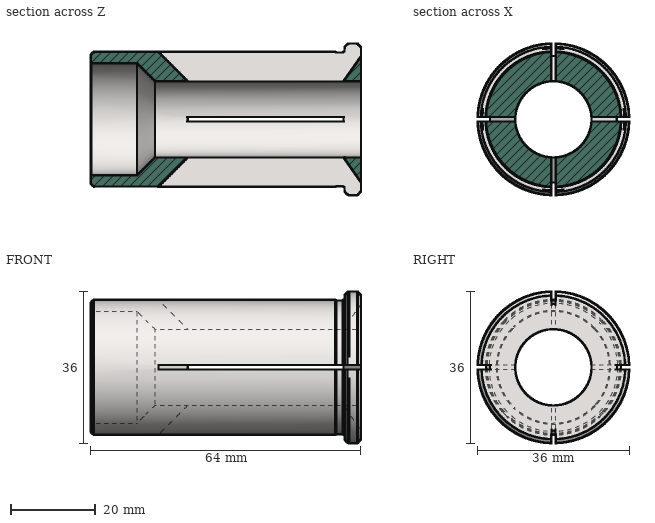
import cadquery as cq
import math


def run_of_slope(rise, angle_from_axis):
    """Length along X over which a slope at this angle changes radius by `rise`."""
    return rise / math.tan(math.radians(angle_from_axis))


length = 64.0
body_radius = 32.0 / 2

entry_face_radius = 15.2
entry_steep_cone_length = 0.3
entry_steep_cone_radius = 15.65
entry_edge_length = 0.8

entry_bore_radius = 26.5 / 2
through_bore_radius = 18.0 / 2
bore_edge_chamfer = 0.25
entry_bore_end = 11.0
bore_cone_half_angle = 45.0
bore_cone_end = entry_bore_end + run_of_slope(
    entry_bore_radius - through_bore_radius, bore_cone_half_angle
)

collar_radius = 18.0
collar_width = 4.0
collar_start = length - collar_width
collar_front_edge = 1.2
blend_long_leg = 0.4
blend_short_leg = 0.13
collar_back_edge = 1.0
back_blend_length = 0.2
back_blend_drop = 0.1

relief_start = 57.8
relief_radius = 15.85
relief_ramp_length = 0.4
relief_corner_length = 0.4
relief_corner_rise = 0.25

slot_count = 4
slot_width = 1.0
slot_start = 16.0
slot_start_angle = 45.0
slot_rise_start = 59.8
slot_rise_angle = 55.0
slot_inner_radius = through_bore_radius - 1.0
slot_outer_radius = collar_radius + 1.0


def sleeve_blank():
    """Body and collar revolved around X, still without the bore."""
    outline = [
        (0, 0),
        (0, entry_face_radius),
        (entry_steep_cone_length, entry_steep_cone_radius),
        (entry_edge_length, body_radius),
        (relief_start, body_radius),
        (relief_start + relief_ramp_length, relief_radius),
        (collar_start - relief_corner_length, relief_radius),
        (collar_start, relief_radius + relief_corner_rise),
        (collar_start, collar_radius - collar_front_edge),
        (collar_start + blend_short_leg, collar_radius - collar_front_edge + blend_long_leg),
        (collar_start + collar_front_edge - blend_long_leg, collar_radius - blend_short_leg),
        (collar_start + collar_front_edge, collar_radius),
        (length - collar_back_edge, collar_radius),
        (length - collar_back_edge + back_blend_length, collar_radius - back_blend_drop),
        (length, collar_radius - collar_back_edge),
        (length, 0),
    ]
    return cq.Workplane("XY").polyline(outline).close().revolve(360, (0, 0, 0), (1, 0, 0))


def bore():
    """Stepped bore with a small chamfer at its entry."""
    outline = [
        (0, 0),
        (0, entry_bore_radius + bore_edge_chamfer),
        (bore_edge_chamfer, entry_bore_radius),
        (entry_bore_end, entry_bore_radius),
        (bore_cone_end, through_bore_radius),
        (length, through_bore_radius),
        (length, 0),
    ]
    return cq.Workplane("XY").polyline(outline).close().revolve(360, (0, 0, 0), (1, 0, 0))


def slot(angle):
    """Cutter for one slot: its floor drops to the bore, then rises in the collar."""
    floor_start = slot_start + run_of_slope(body_radius - slot_inner_radius, slot_start_angle)
    floor_end = slot_rise_start - run_of_slope(
        through_bore_radius - slot_inner_radius, slot_rise_angle
    )
    end_radius = slot_inner_radius + (length - floor_end) * math.tan(math.radians(slot_rise_angle))
    outline = [
        (slot_start, slot_outer_radius),
        (slot_start, body_radius),
        (floor_start, slot_inner_radius),
        (floor_end, slot_inner_radius),
        (length, end_radius),
        (length, slot_outer_radius),
    ]
    cutter = cq.Workplane("XY").polyline(outline).close().extrude(slot_width / 2, both=True)
    return cutter.rotate((0, 0, 0), (1, 0, 0), angle)


result = sleeve_blank().cut(bore())
for index in range(slot_count):
    result = result.cut(slot(index * 360 / slot_count))